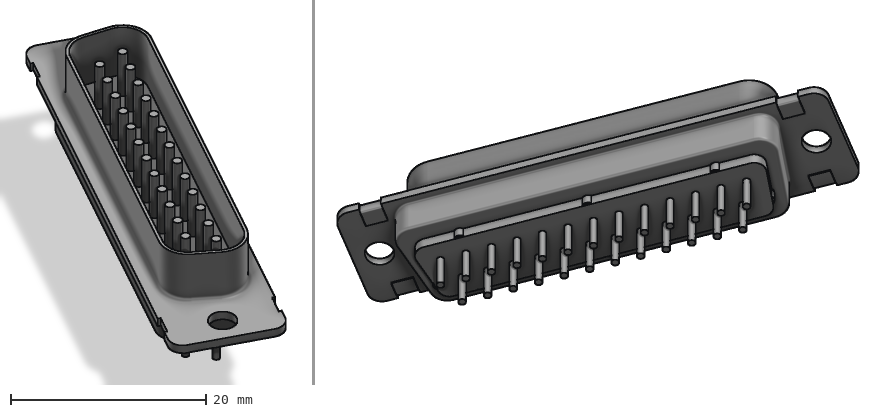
import cadquery as cq
import math


FLANGE_LENGTH = 53.05
FLANGE_WIDTH = 12.55
FLANGE_THICKNESS = 1.0
FLANGE_CORNER_RADIUS = 1.6
MOUNT_HOLE_DIAMETER = 3.0
MOUNT_HOLE_X = 23.6

LUG_X = 22.55
LUG_LENGTH = 2.4
LUG_RECESS = 0.3
LUG_REACH = 1.9
LUG_DROP = 0.15
LUG_BEND_RADIUS = 0.3

SIDE_SLOPE = math.radians(10)
SHELL_HALF_WIDTH = 19.95
SHELL_HALF_HEIGHT = 4.6
SHELL_CORNER_RADIUS = 3.1
SHELL_WALL = 0.35
SHELL_HEIGHT = 5.9
SHELL_ROOT_RADIUS = 0.6

BODY_HALF_WIDTH = 20.65
BODY_HALF_HEIGHT = 5.4
BODY_CORNER_RADIUS = 1.95
BODY_BOTTOM_Z = -4.95
BODY_ROOT_RADIUS = 0.35
BODY_RIM_RADIUS = 0.5

INSULATOR_HALF_WIDTH = 18.95
INSULATOR_HALF_HEIGHT = 3.6
INSULATOR_CORNER_RADIUS = 1.25
INSULATOR_TOP_Z = -0.3
INSULATOR_BOTTOM_Z = -6.25

RIB_WIDTH = 1.0
RIB_PROJECTION = 0.2
RIB_END_GAP = 0.15
RIB_SPACING = 13.85
SIDE_RIB_Y = -1.9

PIN_PITCH = 2.75
PIN_ROW_SPACING = 2.85
LONG_ROW_COUNT = 13
SHORT_ROW_COUNT = 12
PIN_DIAMETER = 1.0
PIN_TOP_Z = 5.1
TAIL_DIAMETER = 0.8
TAIL_BOTTOM_Z = -10.25


def side_x(half_width, half_height, radius, y):
    """X of the sloping side line at height y; half_width is where the upper corner arc bulges most."""
    arc_x = half_width - radius
    arc_y = half_height - radius
    return arc_x + radius / math.cos(SIDE_SLOPE) + (y - arc_y) * math.tan(SIDE_SLOPE)


def d_prism(half_width, half_height, radius, bottom_z, top_z):
    """Upright D-section block, wider at +Y, with four rounded corners."""
    top_x = side_x(half_width, half_height, radius, half_height)
    low_x = side_x(half_width, half_height, radius, -half_height)
    outline = [
        (-low_x, -half_height),
        (low_x, -half_height),
        (top_x, half_height),
        (-top_x, half_height),
    ]
    block = cq.Workplane("XY").workplane(offset=bottom_z).polyline(outline).close()
    return block.extrude(top_z - bottom_z).edges("|Z").fillet(radius)


def cylinder(x, y, diameter, bottom_z, top_z):
    base = cq.Workplane("XY").workplane(offset=bottom_z).center(x, y)
    return base.circle(diameter / 2).extrude(top_z - bottom_z)


def make_flange():
    plate = cq.Workplane("XY").workplane(offset=-FLANGE_THICKNESS)
    plate = plate.rect(FLANGE_LENGTH, FLANGE_WIDTH).extrude(FLANGE_THICKNESS)
    return plate.edges("|Z").fillet(FLANGE_CORNER_RADIUS)


def edge_block(x, side, outer_y, bottom_z):
    """Block through the flange edge, from the inner end of a lug out to outer_y."""
    inner_y = FLANGE_WIDTH / 2 - LUG_RECESS - LUG_REACH
    size_y = outer_y - inner_y
    block = cq.Workplane("XY").box(LUG_LENGTH, size_y, -bottom_z)
    return block.translate((x, side * (inner_y + size_y / 2), bottom_z / 2))


def add_lug(part, x, side):
    """Swap a piece of flange edge for a crimp lug; side is +1 for the +Y edge and -1 for the -Y edge."""
    notch = edge_block(x, side, FLANGE_WIDTH / 2, -FLANGE_THICKNESS)
    lug = edge_block(x, side, FLANGE_WIDTH / 2 - LUG_RECESS, -FLANGE_THICKNESS - LUG_DROP)
    outer_face = ">Y" if side > 0 else "<Y"
    lug = lug.faces(outer_face).edges("<Z").fillet(LUG_BEND_RADIUS)
    return part.cut(notch).union(lug)


def make_rib(x, y, outward_angle):
    """Shallow rounded rib standing on an insulator wall; outward_angle is the wall normal in degrees."""
    rib_radius = ((RIB_WIDTH / 2) ** 2 + RIB_PROJECTION**2) / (2 * RIB_PROJECTION)
    inset = rib_radius - RIB_PROJECTION
    center_x = x - inset * math.cos(math.radians(outward_angle))
    center_y = y - inset * math.sin(math.radians(outward_angle))
    return cylinder(center_x, center_y, 2 * rib_radius, INSULATOR_BOTTOM_Z + RIB_END_GAP, BODY_BOTTOM_Z)


def make_pin(x, y):
    tail = cylinder(x, y, TAIL_DIAMETER, TAIL_BOTTOM_Z, INSULATOR_BOTTOM_Z)
    contact = cylinder(x, y, PIN_DIAMETER, INSULATOR_BOTTOM_Z, PIN_TOP_Z)
    return tail.union(contact)


def root_edges(part, half_width, half_height, z):
    """Edges at height z that outline a D-section standing on the flange."""
    margin = 0.05
    box = cq.selectors.BoxSelector(
        (-half_width - margin, -half_height - margin, z - margin),
        (half_width + margin, half_height + margin, z + margin),
        boundingbox=True,
    )
    return part.edges(box)


result = make_flange()
result = result.union(
    d_prism(SHELL_HALF_WIDTH, SHELL_HALF_HEIGHT, SHELL_CORNER_RADIUS, -FLANGE_THICKNESS, SHELL_HEIGHT)
)
result = root_edges(result, SHELL_HALF_WIDTH, SHELL_HALF_HEIGHT, 0).fillet(SHELL_ROOT_RADIUS)

body = d_prism(BODY_HALF_WIDTH, BODY_HALF_HEIGHT, BODY_CORNER_RADIUS, BODY_BOTTOM_Z, 0)
result = result.union(body.faces("<Z").edges().fillet(BODY_RIM_RADIUS))
result = root_edges(result, BODY_HALF_WIDTH, BODY_HALF_HEIGHT, -FLANGE_THICKNESS).fillet(BODY_ROOT_RADIUS)

result = result.cut(
    d_prism(
        SHELL_HALF_WIDTH - SHELL_WALL,
        SHELL_HALF_HEIGHT - SHELL_WALL,
        SHELL_CORNER_RADIUS - SHELL_WALL,
        INSULATOR_TOP_Z,
        SHELL_HEIGHT,
    )
)

for end in (-1, 1):
    result = result.cut(cylinder(end * MOUNT_HOLE_X, 0, MOUNT_HOLE_DIAMETER, -FLANGE_THICKNESS, 0))
    for side in (-1, 1):
        result = add_lug(result, end * LUG_X, side)

result = result.union(
    d_prism(
        INSULATOR_HALF_WIDTH,
        INSULATOR_HALF_HEIGHT,
        INSULATOR_CORNER_RADIUS,
        INSULATOR_BOTTOM_Z,
        BODY_BOTTOM_Z,
    )
)
for rib_index in (-1, 0, 1):
    for side in (-1, 1):
        result = result.union(make_rib(rib_index * RIB_SPACING, side * INSULATOR_HALF_HEIGHT, side * 90))
side_rib_x = side_x(INSULATOR_HALF_WIDTH, INSULATOR_HALF_HEIGHT, INSULATOR_CORNER_RADIUS, SIDE_RIB_Y)
slope_degrees = math.degrees(SIDE_SLOPE)
result = result.union(make_rib(side_rib_x, SIDE_RIB_Y, -slope_degrees))
result = result.union(make_rib(-side_rib_x, SIDE_RIB_Y, 180 + slope_degrees))

for count, row_y in ((LONG_ROW_COUNT, PIN_ROW_SPACING / 2), (SHORT_ROW_COUNT, -PIN_ROW_SPACING / 2)):
    for index in range(count):
        result = result.union(make_pin((index - (count - 1) / 2) * PIN_PITCH, row_y))